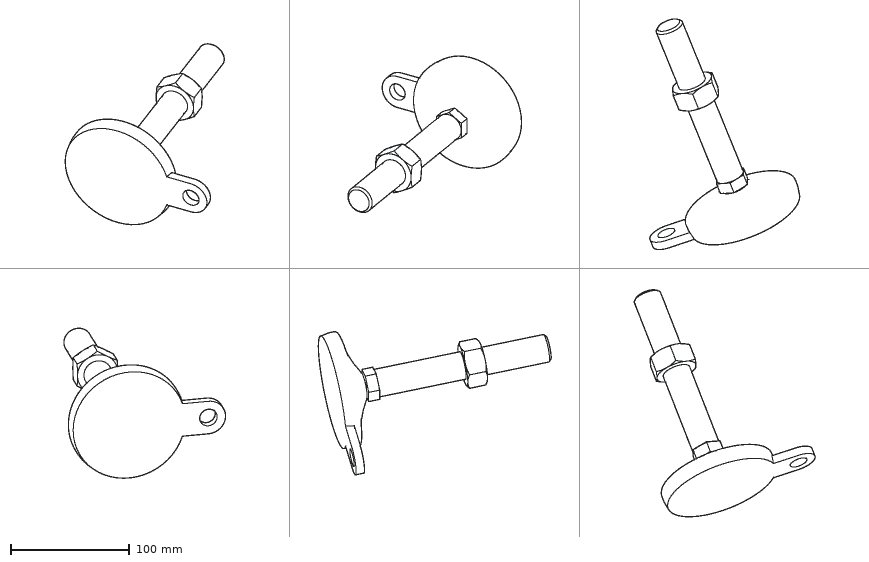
import cadquery as cq
import math

pad_diameter = 100.0
pad_bottom_diameter = 97.5
pad_taper_height = 7.7
pad_rim_height = 13.5
rim_fillet = 1.7
cone_middle_radius = 29.0
cone_middle_height = 18.7
cone_top_radius = 12.6
cone_top_height = 27.0
pad_top_radius = 11.3
pad_height = 27.7

tab_reach = 34.0
tab_width = 30.0
tab_thickness = 7.4
tab_hole_diameter = 15.0

neck_diameter = 10.0
stem_diameter = 24.0
stem_end = 188.5
stem_chamfer = 1.9
stem_hex_start = 28.8
stem_hex_end = 38.5
stem_hex_across_flats = 24.3

nut_start = 113.9
nut_end = 131.2
nut_across_flats = 35.0
nut_bevel_angle = 30.0

hex_half_angle = 30.0


def section_at(height):
    """Workplane across the stem axis, facing +Y, with local x along X."""
    return cq.Workplane("XZ", origin=(0, height, 0))


def cylinder(diameter, start, end):
    return section_at(start).circle(diameter / 2).extrude(start - end)


def hexagon(across_flats, start, end):
    """Hexagonal prism with two corners pointing along Z."""
    corner_diameter = across_flats / math.cos(math.radians(hex_half_angle))
    return (
        section_at(start)
        .transformed(rotate=(0, 0, hex_half_angle))
        .polygon(6, corner_diameter)
        .extrude(start - end)
    )


def make_pad():
    pad = (
        cq.Workplane("XY")
        .lineTo(pad_bottom_diameter / 2, 0)
        .lineTo(pad_diameter / 2, pad_taper_height)
        .lineTo(pad_diameter / 2, pad_rim_height)
        .threePointArc((cone_middle_radius, cone_middle_height), (cone_top_radius, cone_top_height))
        .lineTo(pad_top_radius, pad_height)
        .lineTo(0, pad_height)
        .close()
        .revolve(360, (0, 0, 0), (0, 1, 0))
    )
    below_rim = pad_rim_height - rim_fillet
    above_rim = pad_rim_height + rim_fillet
    rim_zone = cq.selectors.BoxSelector(
        (-pad_diameter, below_rim, -pad_diameter), (pad_diameter, above_rim, pad_diameter)
    )
    return pad.edges("%CIRCLE").edges(rim_zone).fillet(rim_fillet)


def make_tab():
    end_radius = tab_width / 2
    hole_x = pad_diameter / 2 + tab_reach - end_radius
    bar = section_at(0).center(hole_x / 2, 0).rect(hole_x, tab_width).extrude(-tab_thickness)
    rounded_end = section_at(0).center(hole_x, 0).circle(end_radius).extrude(-tab_thickness)
    hole = section_at(0).center(hole_x, 0).circle(tab_hole_diameter / 2).extrude(-tab_thickness)
    return bar.union(rounded_end).cut(hole)


def make_stem():
    neck = cylinder(neck_diameter, pad_height, stem_hex_start)
    hex_collar = hexagon(stem_hex_across_flats, stem_hex_start, stem_hex_end)
    rod = cylinder(stem_diameter, stem_hex_end, stem_end).faces(">Y").chamfer(stem_chamfer)
    return neck.union(hex_collar).union(rod)


def make_nut():
    """Hexagonal nut whose corners are bevelled at both ends."""
    corner_radius = nut_across_flats / 2 / math.cos(math.radians(hex_half_angle))
    face_radius = nut_across_flats / 2
    bevel_depth = (corner_radius - face_radius) * math.tan(math.radians(nut_bevel_angle))
    bevel_envelope = (
        cq.Workplane("XY", origin=(0, nut_start, 0))
        .lineTo(face_radius, 0)
        .lineTo(corner_radius, bevel_depth)
        .lineTo(corner_radius, nut_end - nut_start - bevel_depth)
        .lineTo(face_radius, nut_end - nut_start)
        .lineTo(0, nut_end - nut_start)
        .close()
        .revolve(360, (0, 0, 0), (0, 1, 0))
    )
    return hexagon(nut_across_flats, nut_start, nut_end).intersect(bevel_envelope)


result = make_pad().union(make_tab()).union(make_stem()).union(make_nut())